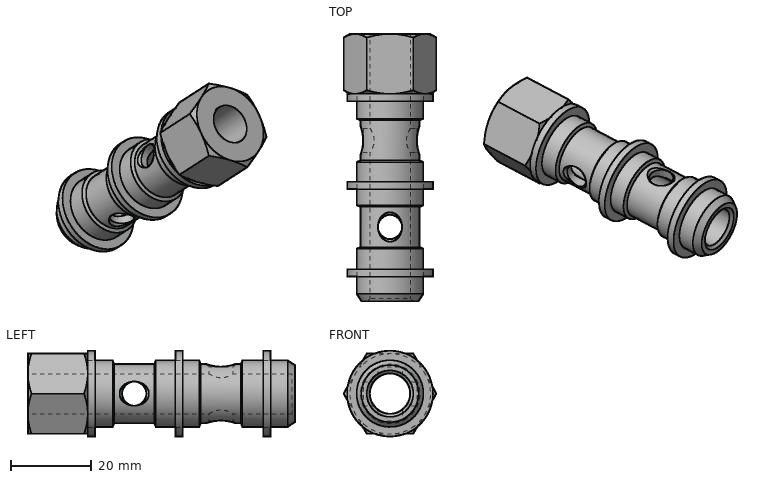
import cadquery as cq
import math

total_length = 66.5

head_length = 14.9
across_flats = 20.0
across_corners = across_flats / math.cos(math.radians(30))
head_bevel_angle = 30.0

shank_radius = 8.3
tip_chamfer_length = 1.85
tip_radius = 7.1
bore_radius = 5.0
bore_chamfer = 0.8

neck_radius = 7.4
neck_length = 10.8
neck_taper_length = 0.4
front_neck_center = 18.5
neck_spacing = 21.55
cross_hole_radius = 3.0
countersink_radius = 3.65

washer_radius = 10.7
washer_thickness = 1.85
washer_spacing = 21.8
washer_count = 3

head_start = total_length - head_length
rear_neck_center = front_neck_center + neck_spacing


def cylinder_y(radius, start, length):
    """Solid cylinder along Y, from start toward +Y."""
    plane = cq.Plane(origin=(0, start, 0), xDir=(1, 0, 0), normal=(0, 1, 0))
    return cq.Workplane(plane).circle(radius).extrude(length)


def revolve_y(points):
    """Revolve a closed (radius, Y) outline around the Y axis."""
    return cq.Workplane("XY").polyline(points).close().revolve(360, (0, 0, 0), (0, 1, 0))


def make_head():
    """Hexagon with corners on +X and -X, bevelled by a cone at both ends."""
    plane = cq.Plane(origin=(0, head_start, 0), xDir=(1, 0, 0), normal=(0, 1, 0))
    hexagon = cq.Workplane(plane).polygon(6, across_corners).extrude(head_length)
    flat_radius = across_flats / 2
    corner_radius = across_corners / 2
    bevel_length = (corner_radius - flat_radius) * math.tan(math.radians(head_bevel_angle))
    envelope = revolve_y([
        (0, head_start),
        (flat_radius, head_start),
        (corner_radius, head_start + bevel_length),
        (corner_radius, total_length - bevel_length),
        (flat_radius, total_length),
        (0, total_length),
    ])
    return hexagon.intersect(envelope)


def make_shank():
    """Round shank with a chamfered tip and two necks with conical ends."""
    outline = [(0, 0), (tip_radius, 0), (shank_radius, tip_chamfer_length)]
    for center in (front_neck_center, rear_neck_center):
        start = center - neck_length / 2
        end = center + neck_length / 2
        outline += [
            (shank_radius, start),
            (neck_radius, start + neck_taper_length),
            (neck_radius, end - neck_taper_length),
            (shank_radius, end),
        ]
    outline += [(shank_radius, head_start), (0, head_start)]
    return revolve_y(outline)


def make_bore():
    """Through bore, chamfered at the tip."""
    return revolve_y([
        (0, 0),
        (bore_radius + bore_chamfer, 0),
        (bore_radius, bore_chamfer),
        (bore_radius, total_length),
        (0, total_length),
    ])


def make_cross_hole(center, direction):
    """Hole across the neck, opened by a 45 degree countersink at each side."""
    countersink_depth = countersink_radius - cross_hole_radius
    axis = cq.Vector(*direction)
    origin = cq.Vector(0, center, 0)
    cutter = cq.Workplane(cq.Solid.makeCylinder(
        cross_hole_radius, 2 * shank_radius, origin - axis * shank_radius, axis))
    for outward in (axis, -axis):
        cone = cq.Solid.makeCone(
            countersink_radius, cross_hole_radius, countersink_depth,
            origin + outward * neck_radius, -outward)
        cutter = cutter.union(cq.Workplane(cone))
    return cutter


def make_bolt():
    bolt = make_shank().union(make_head()).cut(make_bore())
    bolt = bolt.cut(make_cross_hole(front_neck_center, (0, 0, 1)))
    return bolt.cut(make_cross_hole(rear_neck_center, (1, 0, 0)))


def make_washer(start):
    """Flat ring fitting closely around the shank."""
    ring = cylinder_y(washer_radius, start, washer_thickness)
    return ring.cut(cylinder_y(shank_radius, start, washer_thickness))


bolt = make_bolt()

washers = []
for index in range(washer_count):
    washer_start = head_start - washer_thickness - index * washer_spacing
    washers.append(make_washer(washer_start).val())

result = cq.Compound.makeCompound([bolt.val(), *washers])